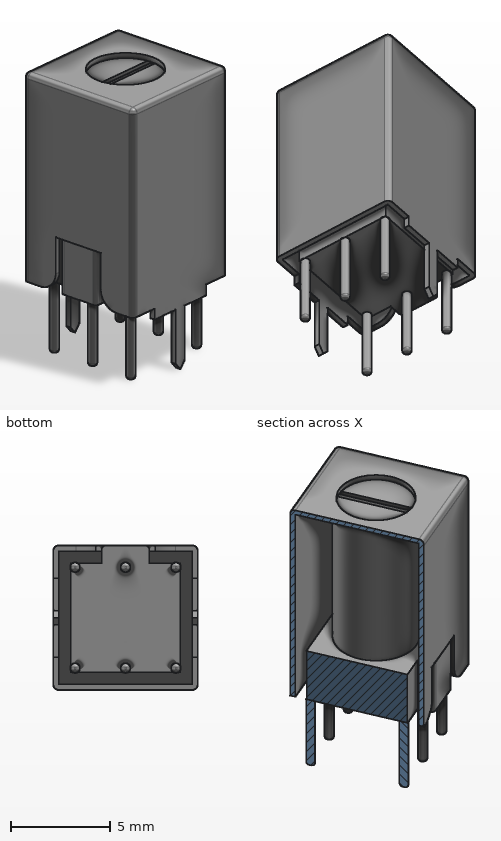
import cadquery as cq
import math

can_width = 7.3
can_bottom = 4.0
can_top = 15.5
wall = 0.3
can_edge_radius = 0.3
top_hole_diameter = 4.0

notch_width = 3.0
notch_height = 3.0
notch_flare_radius = 1.0

tab_shoulder_width = 4.0
tab_shoulder_height = 0.6
tab_leg_width = 0.7
tab_tip_height = 0.4

core_diameter = 4.4
slot_width = 0.5
slot_depth = 0.2

base_width = 5.5
rib_width = 2.4
rib_edge_radius = 0.23

pin_diameter = 0.5
pin_pitch = 2.54
pin_tip_radius = 0.2

can_height = can_top - can_bottom
cavity_width = can_width - 2 * wall
cavity_top = can_top - wall
base_height = notch_height
core_bottom = can_bottom + base_height
core_height = cavity_top - core_bottom
half_can = can_width / 2
rib_depth = half_can - base_width / 2
half_cavity = cavity_width / 2


def make_notch_cutter():
    """Slot through the -Y wall whose sides flare out into the bottom edge."""
    half_notch = notch_width / 2
    flare_x = half_notch + notch_flare_radius
    flare_top = can_bottom + notch_flare_radius
    notch_top = can_bottom + notch_height
    arc_offset = notch_flare_radius * (1 - math.cos(math.radians(45)))
    arc_x = half_notch + arc_offset
    arc_z = can_bottom + arc_offset
    return (
        cq.Workplane("XZ", origin=(0, -half_cavity, 0))
        .moveTo(-flare_x, can_bottom)
        .threePointArc((-arc_x, arc_z), (-half_notch, flare_top))
        .lineTo(-half_notch, notch_top)
        .lineTo(half_notch, notch_top)
        .lineTo(half_notch, flare_top)
        .threePointArc((arc_x, arc_z), (flare_x, can_bottom))
        .close()
        .extrude(wall)
    )


def make_tab(inner_x):
    """Flat T-shaped tab with a pointed leg, one wall thick from inner_x in +X."""
    half_shoulder = tab_shoulder_width / 2
    half_leg = tab_leg_width / 2
    shoulder_bottom = can_bottom - tab_shoulder_height
    return (
        cq.Workplane("YZ", origin=(inner_x, 0, 0))
        .moveTo(-half_shoulder, can_bottom)
        .lineTo(-half_shoulder, shoulder_bottom)
        .lineTo(-half_leg, shoulder_bottom)
        .lineTo(-half_leg, tab_tip_height)
        .lineTo(0, 0)
        .lineTo(half_leg, tab_tip_height)
        .lineTo(half_leg, shoulder_bottom)
        .lineTo(half_shoulder, shoulder_bottom)
        .lineTo(half_shoulder, can_bottom)
        .close()
        .extrude(wall)
    )


def make_can():
    """Rounded shell with the top hole, the notch and the two solder tabs."""
    shell = (
        cq.Workplane("XY", origin=(0, 0, can_bottom))
        .rect(can_width, can_width)
        .extrude(can_height)
        .edges("|Z or >Z")
        .fillet(can_edge_radius)
    )
    cavity = (
        cq.Workplane("XY", origin=(0, 0, can_bottom))
        .rect(cavity_width, cavity_width)
        .extrude(can_height - wall)
    )
    top_hole = cq.Workplane("XY", origin=(0, 0, cavity_top)).circle(top_hole_diameter / 2).extrude(wall)
    can = shell.cut(cavity).cut(top_hole).cut(make_notch_cutter())
    return can.union(make_tab(-half_can)).union(make_tab(half_cavity))


def make_core():
    """Cylinder between the base and the can's top wall, with a slot along Y in its upper face."""
    core = cq.Workplane("XY", origin=(0, 0, core_bottom)).circle(core_diameter / 2).extrude(core_height)
    slot = (
        cq.Workplane("XY", origin=(0, 0, cavity_top - slot_depth))
        .rect(slot_width, core_diameter)
        .extrude(slot_depth)
    )
    return core.cut(slot)


def make_pin(x, y):
    """Round pin with a rounded tip, from Z = 0 up to the underside of the base."""
    return (
        cq.Workplane("XY", origin=(x, y, 0))
        .circle(pin_diameter / 2)
        .extrude(can_bottom)
        .faces("<Z")
        .fillet(pin_tip_radius)
    )


def make_base():
    """Square block under the core, with a rounded rib that fills the notch's middle."""
    base = (
        cq.Workplane("XY", origin=(0, 0, can_bottom))
        .rect(base_width, base_width)
        .extrude(base_height)
    )
    rib = (
        cq.Workplane("XY", origin=(0, -half_can + rib_depth / 2, can_bottom))
        .rect(rib_width, rib_depth)
        .extrude(base_height)
        .edges("|Z and <Y")
        .fillet(rib_edge_radius)
    )
    return base.union(rib)


can = make_can()
core = make_core()
base = make_base()
pins = [make_pin(column * pin_pitch, row * pin_pitch) for row in (-1, 1) for column in (-1, 0, 1)]
result = cq.Compound.makeCompound([can.val(), core.val(), base.val(), *[pin.val() for pin in pins]])